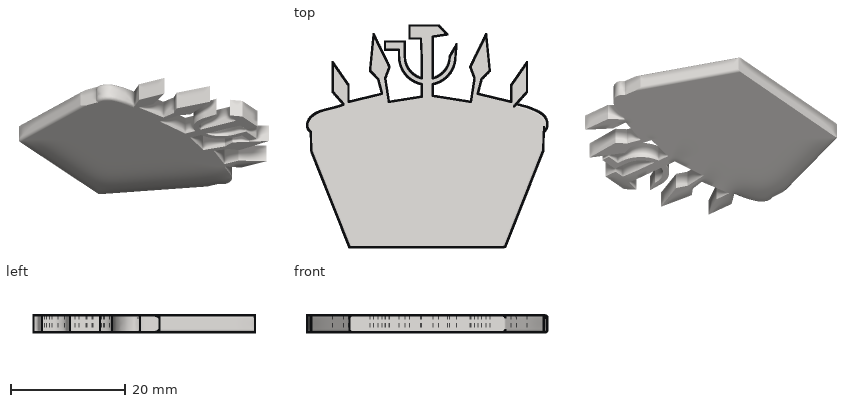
import cadquery as cq

thickness = 3.0
overall_height = 38.81
edge_radius = 0.5
base_half_width = 13.62

left_flank_corner = (-20.28, 16.75)
right_flank_corner = (20.28, 16.85)

right_flank_top = (20.43, 21.0)

left_shoulder = [(-20.40, 20.15), (-21.02, 21.50), (-20.39, 22.75), (-18.17, 23.98), (-14.64, 25.00)]
right_shoulder = [
    (14.67, 25.28),
    (17.33, 24.61),
    (19.23, 23.84),
    (20.42, 23.02),
    (21.01, 21.75),
    (20.45, 20.20),
]

crown_axis_x = 0.46
outer_spear = [left_shoulder[-1], (-16.56, 27.18), (-16.56, 32.40), (-13.75, 28.35), (-13.75, 25.45)]
inner_spear = [
    (-7.93, 26.86),
    (-8.60, 29.40),
    (-10.03, 30.85),
    (-9.39, 37.30),
    (-6.58, 31.55),
    (-7.33, 29.55),
    (-6.69, 25.45),
]
spear_root_depth = 0.4

stem_half_width = 1.0
stem_left_foot_y = 26.35
stem_right_foot_y = 26.50
stem_left_bend_y = 33.50
hammer_left_x = -3.13
hammer_underside_y = 36.50
hammer_neck_left_x = -1.14
hammer_slope_start_x = 1.96
hammer_tip = (3.53, 37.20)
hammer_neck_right_y = 36.82

sickle_centre_y = 33.35
sickle_outer_radius = 4.95
sickle_inner_radius = 3.90
sickle_tip = (5.15, 35.50)
handle_left_x = -7.40
handle_top_y = 36.00
handle_bottom_y = 34.50


def mirrored(points):
    """Reflect an outline about the crown axis, keeping its left-to-right order."""
    return [(2 * crown_axis_x - x, y) for x, y in reversed(points)]


def make_plate():
    """Shield-shaped plate with the hammer and all spears but the outer right one on its top edge."""
    hammer = [
        (-stem_half_width, stem_left_foot_y),
        (-stem_half_width, stem_left_bend_y),
        (hammer_neck_left_x, hammer_underside_y),
        (hammer_left_x, hammer_underside_y),
        (hammer_left_x, overall_height),
        (hammer_slope_start_x, overall_height),
        hammer_tip,
        (stem_half_width, hammer_neck_right_y),
        (stem_half_width, stem_right_foot_y),
    ]
    spear_foot = mirrored(outer_spear)[0]
    shoulder_seat = (spear_foot[0], right_shoulder[0][1] - 2 * edge_radius)
    right_end = [spear_foot, shoulder_seat, right_flank_top, right_flank_corner, (base_half_width, 0)]
    outline = cq.Workplane("XY").moveTo(-base_half_width, 0).lineTo(*left_flank_corner)
    outline = outline.lineTo(*left_shoulder[0]).spline(left_shoulder[1:], includeCurrent=True)
    for point in outer_spear[1:] + inner_spear + hammer + mirrored(inner_spear) + right_end:
        outline = outline.lineTo(*point)
    return outline.close().extrude(thickness)


def round_plate_edges(plate):
    """Round the top and bottom edges of both slanted sides, and the upright right base corner."""
    rounded = plate.edges(cq.NearestToPointSelector((base_half_width, 0, thickness / 2))).vals()
    sides = [(-base_half_width, left_flank_corner), (base_half_width, right_flank_corner)]
    for base_x, (flank_x, flank_y) in sides:
        for z in (0, thickness):
            side_middle = ((base_x + flank_x) / 2, flank_y / 2, z)
            rounded += plate.edges(cq.NearestToPointSelector(side_middle)).vals()
    return cq.Workplane(plate.val().fillet(edge_radius, rounded))


def make_right_shoulder():
    """Right shoulder with its top and bottom edges rounded, overlapping the plate."""
    shoulder = (
        cq.Workplane("XY")
        .moveTo(*right_shoulder[0])
        .spline(right_shoulder[1:], includeCurrent=True)
        .lineTo(right_shoulder[0][0], right_shoulder[-1][1])
        .close()
        .extrude(thickness)
    )
    for face in (">Z", "<Z"):
        shoulder = shoulder.faces(face).edges("%BSPLINE").fillet(edge_radius)
    return shoulder


def make_right_spear():
    """Outer right spear, rooted in the plate so that it covers the end of the shoulder rounding."""
    spear = mirrored(outer_spear)
    inner_x = spear[0][0]
    outer_x, outer_y = spear[-1]
    root_y = outer_y - spear_root_depth
    spear[-1] = (outer_x - spear_root_depth, root_y)
    return cq.Workplane("XY").polyline(spear + [(inner_x, root_y)]).close().extrude(thickness)


def make_sickle():
    """Half-ring blade crossing the stem, with a pointed tip and an L-shaped handle."""
    sickle = (
        cq.Workplane("XY")
        .moveTo(handle_left_x, handle_top_y)
        .lineTo(handle_left_x, handle_bottom_y)
        .lineTo(-sickle_outer_radius, handle_bottom_y)
        .lineTo(-sickle_outer_radius, sickle_centre_y)
        .threePointArc((0, sickle_centre_y - sickle_outer_radius), (sickle_outer_radius, sickle_centre_y))
        .lineTo(*sickle_tip)
        .lineTo(sickle_inner_radius, sickle_centre_y)
        .threePointArc((0, sickle_centre_y - sickle_inner_radius), (-sickle_inner_radius, sickle_centre_y))
        .lineTo(-sickle_inner_radius, handle_top_y)
        .close()
    )
    return sickle.extrude(thickness)


result = round_plate_edges(make_plate())
for piece in (make_right_shoulder(), make_right_spear(), make_sickle()):
    result = result.union(piece)